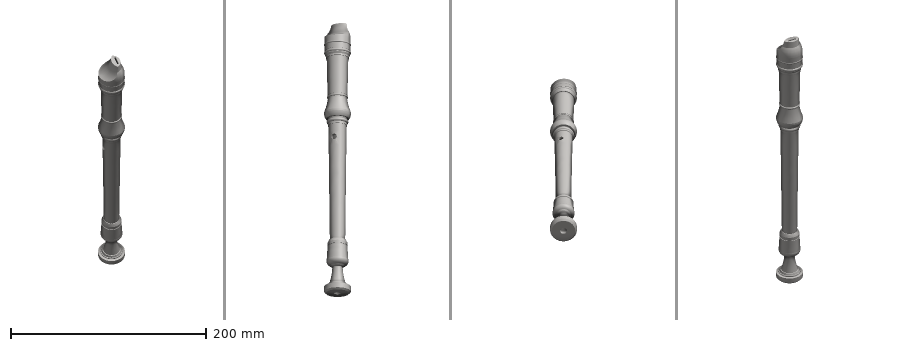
import cadquery as cq


TOTAL_HEIGHT = 292.3
FOOT_TOP = 57.5
MIDDLE_TOP = 188.9
RIM_RADIUS = 13.7

BORE_RADIUS = 5.8
FOOT_BORE_RADIUS = 3.5
BORE_TOP = 257.3
THUMB_HOLE_RADIUS = 3.0
THUMB_HOLE_HEIGHT = 167.0

FLANGE_TOP = 7.0
FLANGE_CHAMFER = 1.8
COLLAR_RADIUS = 11.0
COLLAR_TOP = 8.2
CONE_BOTTOM_RADIUS = 10.2
CONE_TOP_RADIUS = 9.5
CONE_TOP = 10.2
STEM_BASE_RADIUS = 8.5
STEM_MIDDLE_RADIUS = 6.5
STEM_MIDDLE_HEIGHT = 18.0
STEM_RADIUS = 5.3
STEM_TOP = 27.8
BARREL_LIP_RADIUS = 6.7
BARREL_LIP_HEIGHT = 28.6
BARREL_BASE_RADIUS = 8.0
BARREL_BASE_HEIGHT = 29.8
BARREL_CURVE_RADIUS = 10.5
BARREL_CURVE_HEIGHT = 32.0
BARREL_CURVE_TOP = 36.0
FOOT_BARREL_RADIUS = 10.2
FOOT_GROOVE_RADIUS = 9.6
FOOT_GROOVE_BOTTOM = 50.3
FOOT_GROOVE_TOP = 51.5
FOOT_BEVEL_BOTTOM = 54.5
FOOT_BEVEL_MIDDLE = 56.0
FOOT_BEVEL_MIDDLE_RADIUS = 9.5
FOOT_TOP_RADIUS = 8.5

MIDDLE_BOTTOM_RADIUS = 8.0
MIDDLE_TUBE_TOP = 181.3
MIDDLE_TUBE_TOP_RADIUS = 9.5
NECK_RADIUS = 10.0
NECK_RING_BOTTOM = 183.5
NECK_RING_TOP = 187.0
NECK_RING_RADIUS = 11.0

BULB_BOTTOM_RADIUS = 12.0
BULB_CURVE_RADIUS = 13.2
BULB_CURVE_HEIGHT = 191.0
BULB_RIM_BOTTOM = 193.8
BULB_TOP = 195.5
FLARE_MIDDLE_RADIUS = 11.7
FLARE_MIDDLE_HEIGHT = 201.7
FLARE_TOP = 210.0
HEAD_WAIST_RADIUS = 10.0
HEAD_RING_BOTTOM = 211.0
HEAD_RING_TOP = 212.8
HEAD_RING_RADIUS = 10.8
HEAD_TUBE_BOTTOM = 214.0
HEAD_TUBE_BOTTOM_RADIUS = 10.2
HEAD_TUBE_TOP = 254.3
HEAD_TUBE_TOP_RADIUS = 11.0
CAP_RADIUS = 13.2
CAP_LIP_RADIUS = 13.0
CAP_STEP_RADIUS = 12.0
CAP_STEP_TOP = 256.0
CAP_BOTTOM = 257.8
CAP_RING_BOTTOM = 258.7
CAP_RING_TOP = 261.4
CAP_WALL_BOTTOM = 262.2
CAP_TOP = 267.8
CAP_BEAD_TOP = 269.5
SHOULDER_RADIUS = 13.5
SHOULDER_TOP = 275.5
CROWN_HEIGHT = 285.5
CROWN_RADIUS = 10.2
TIP_RADIUS = 9.5

BEAK_AXIS_Y = 12.3
BEAK_TIP_Y = 0.3
BEAK_MIDDLE_Y = -3.8
BEAK_MIDDLE_HEIGHT = 282.7
BEAK_FRONT_Y = -14.0
BEAK_FRONT_HEIGHT = 275.7

WINDWAY_WIDTH = 9.5
WINDWAY_THICKNESS = 1.8
WINDWAY_Y = 5.5


def ring(profile, side_radius, bottom, top, peak_radius):
    """Add a rounded ring that swells from side_radius to peak_radius and back."""
    return profile.threePointArc((peak_radius, (bottom + top) / 2), (side_radius, top))


def turn(profile):
    """Close a radius-height profile onto the Z axis and revolve it."""
    return profile.close().revolve(360, (0, 0, 0), (0, 1, 0))


def bore(bottom, top, radius):
    return cq.Workplane("XY").workplane(offset=bottom).circle(radius).extrude(top - bottom)


def make_foot():
    profile = (
        cq.Workplane("XZ")
        .lineTo(RIM_RADIUS - FLANGE_CHAMFER, 0)
        .lineTo(RIM_RADIUS, FLANGE_CHAMFER)
        .lineTo(RIM_RADIUS, FLANGE_TOP)
        .lineTo(COLLAR_RADIUS, FLANGE_TOP)
        .lineTo(COLLAR_RADIUS, COLLAR_TOP)
        .lineTo(CONE_BOTTOM_RADIUS, COLLAR_TOP)
        .lineTo(CONE_TOP_RADIUS, CONE_TOP)
        .lineTo(STEM_BASE_RADIUS, CONE_TOP)
        .threePointArc((STEM_MIDDLE_RADIUS, STEM_MIDDLE_HEIGHT), (STEM_RADIUS, STEM_TOP))
        .lineTo(BARREL_LIP_RADIUS, BARREL_LIP_HEIGHT)
        .lineTo(BARREL_BASE_RADIUS, BARREL_BASE_HEIGHT)
        .threePointArc((BARREL_CURVE_RADIUS, BARREL_CURVE_HEIGHT), (COLLAR_RADIUS, BARREL_CURVE_TOP))
        .lineTo(FOOT_BARREL_RADIUS, FOOT_GROOVE_BOTTOM)
        .lineTo(FOOT_GROOVE_RADIUS, FOOT_GROOVE_BOTTOM)
        .lineTo(FOOT_GROOVE_RADIUS, FOOT_GROOVE_TOP)
        .lineTo(FOOT_BARREL_RADIUS, FOOT_GROOVE_TOP)
        .lineTo(FOOT_BARREL_RADIUS, FOOT_BEVEL_BOTTOM)
        .lineTo(FOOT_BEVEL_MIDDLE_RADIUS, FOOT_BEVEL_MIDDLE)
        .lineTo(FOOT_TOP_RADIUS, FOOT_TOP)
        .lineTo(0, FOOT_TOP)
    )
    return turn(profile).cut(bore(0, FOOT_TOP, FOOT_BORE_RADIUS))


def make_middle():
    profile = (
        cq.Workplane("XZ")
        .moveTo(0, FOOT_TOP)
        .lineTo(MIDDLE_BOTTOM_RADIUS, FOOT_TOP)
        .lineTo(MIDDLE_TUBE_TOP_RADIUS, MIDDLE_TUBE_TOP)
        .lineTo(NECK_RADIUS, MIDDLE_TUBE_TOP)
        .lineTo(NECK_RADIUS, NECK_RING_BOTTOM)
    )
    profile = ring(profile, NECK_RADIUS, NECK_RING_BOTTOM, NECK_RING_TOP, NECK_RING_RADIUS)
    profile = profile.lineTo(NECK_RADIUS, MIDDLE_TOP).lineTo(0, MIDDLE_TOP)
    thumb_hole = (
        cq.Workplane("XZ")
        .center(0, THUMB_HOLE_HEIGHT)
        .circle(THUMB_HOLE_RADIUS)
        .extrude(RIM_RADIUS)
    )
    return turn(profile).cut(bore(FOOT_TOP, MIDDLE_TOP, BORE_RADIUS)).cut(thumb_hole)


def make_beak_envelope():
    """Everything behind and below the hollow front of the mouthpiece."""
    return (
        cq.Workplane("YZ")
        .moveTo(BEAK_AXIS_Y, MIDDLE_TOP)
        .lineTo(BEAK_FRONT_Y, MIDDLE_TOP)
        .lineTo(BEAK_FRONT_Y, BEAK_FRONT_HEIGHT)
        .threePointArc((BEAK_MIDDLE_Y, BEAK_MIDDLE_HEIGHT), (BEAK_TIP_Y, TOTAL_HEIGHT))
        .lineTo(BEAK_AXIS_Y, TOTAL_HEIGHT)
        .close()
        .revolve(360, (BEAK_AXIS_Y, 0, 0), (BEAK_AXIS_Y, 1, 0))
    )


def make_head():
    profile = (
        cq.Workplane("XZ")
        .moveTo(0, MIDDLE_TOP)
        .lineTo(BULB_BOTTOM_RADIUS, MIDDLE_TOP)
        .threePointArc((BULB_CURVE_RADIUS, BULB_CURVE_HEIGHT), (RIM_RADIUS, BULB_RIM_BOTTOM))
        .lineTo(RIM_RADIUS, BULB_TOP)
        .threePointArc((FLARE_MIDDLE_RADIUS, FLARE_MIDDLE_HEIGHT), (HEAD_WAIST_RADIUS, FLARE_TOP))
        .lineTo(HEAD_WAIST_RADIUS, HEAD_RING_BOTTOM)
    )
    profile = ring(profile, HEAD_WAIST_RADIUS, HEAD_RING_BOTTOM, HEAD_RING_TOP, HEAD_RING_RADIUS)
    profile = (
        profile
        .lineTo(HEAD_WAIST_RADIUS, HEAD_TUBE_BOTTOM)
        .lineTo(HEAD_TUBE_BOTTOM_RADIUS, HEAD_TUBE_BOTTOM)
        .lineTo(HEAD_TUBE_TOP_RADIUS, HEAD_TUBE_TOP)
        .lineTo(CAP_STEP_RADIUS, HEAD_TUBE_TOP)
        .lineTo(CAP_STEP_RADIUS, CAP_STEP_TOP)
        .lineTo(CAP_LIP_RADIUS, CAP_BOTTOM)
        .lineTo(CAP_LIP_RADIUS, CAP_RING_BOTTOM)
    )
    profile = ring(profile, CAP_LIP_RADIUS, CAP_RING_BOTTOM, CAP_RING_TOP, RIM_RADIUS)
    profile = (
        profile
        .lineTo(CAP_LIP_RADIUS, CAP_WALL_BOTTOM)
        .lineTo(CAP_RADIUS, CAP_WALL_BOTTOM)
        .lineTo(CAP_RADIUS, CAP_TOP)
        .threePointArc((RIM_RADIUS, (CAP_TOP + CAP_BEAD_TOP) / 2), (SHOULDER_RADIUS, CAP_BEAD_TOP))
        .lineTo(SHOULDER_RADIUS, SHOULDER_TOP)
        .tangentArcPoint((CROWN_RADIUS, CROWN_HEIGHT), relative=False)
        .lineTo(TIP_RADIUS, TOTAL_HEIGHT)
        .lineTo(0, TOTAL_HEIGHT)
    )
    windway = (
        cq.Workplane("XY")
        .workplane(offset=BORE_TOP)
        .center(0, WINDWAY_Y)
        .rect(WINDWAY_WIDTH, WINDWAY_THICKNESS)
        .extrude(TOTAL_HEIGHT - BORE_TOP)
    )
    head = turn(profile).intersect(make_beak_envelope())
    return head.cut(bore(MIDDLE_TOP, BORE_TOP, BORE_RADIUS)).cut(windway)


foot = make_foot()
middle = make_middle()
head = make_head()

result = cq.Compound.makeCompound([foot.val(), middle.val(), head.val()])